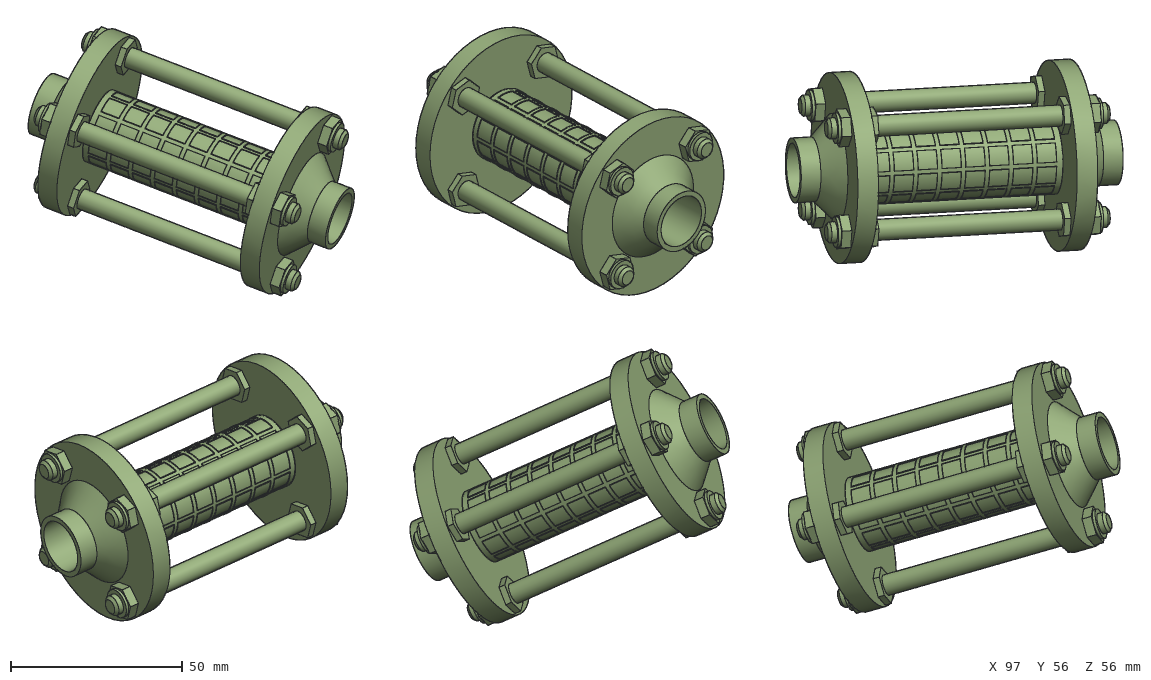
import cadquery as cq


overall_length = 97.0
flange_diameter = 56.0
flange_thickness = 6.2
flange_spacing = 59.85
neck_radius = 16.0
pipe_length = 5.9
pipe_radius = 9.5
bore_radius = 8.0

rod_count = 4
rod_radius = 3.1
rod_length = 85.0
rod_chamfer = 0.9
bolt_circle_radius = 22.0
nut_corner_radius = 5.5
inner_nut_height = 1.9
outer_nut_height = 2.9
collar_radius = 4.5
collar_height = 0.9

glass_radius = 11.0
guard_radius = 11.3
window_rows = 8
windows_around = 10
window_length = 5.8
window_width = 5.6
window_pitch = 7.2

half_length = overall_length / 2
inner_face = flange_spacing / 2
outer_face = inner_face + flange_thickness
neck_end = half_length - pipe_length


def cylinder_x(start, length, radius):
    """Cylinder on the X axis, running from start towards +X."""
    return cq.Workplane("YZ", origin=(start, 0, 0)).circle(radius).extrude(length)


def hexagon_x(start, length):
    """Hexagonal prism along X with one corner pointing along +Y."""
    hexagon = cq.Workplane("YZ", origin=(start, 0, 0)).polygon(6, 2 * nut_corner_radius)
    return hexagon.extrude(length)


def place_on_bolt_circle(body, index):
    """Move a body from the X axis to a bolt position, keeping its +Y side outward."""
    angle = (index + 0.5) * 360 / rod_count
    return body.translate((0, bolt_circle_radius, 0)).rotate((0, 0, 0), (1, 0, 0), angle)


def make_flange(side):
    """Weld-neck flange at the +X (side = 1) or -X (side = -1) end."""
    profile = [
        (inner_face, bore_radius),
        (inner_face, flange_diameter / 2),
        (outer_face, flange_diameter / 2),
        (outer_face, neck_radius),
        (neck_end, pipe_radius),
        (half_length, pipe_radius),
        (half_length, bore_radius),
    ]
    half_section = cq.Workplane("XY").polyline([(side * x, r) for x, r in profile]).close()
    flange = half_section.revolve(360, (0, 0, 0), (1, 0, 0))
    hole = cylinder_x(-half_length, overall_length, rod_radius)
    for index in range(rod_count):
        flange = flange.cut(place_on_bolt_circle(hole, index))
    return flange


def make_tie_rod():
    """Tie rod on the X axis, with an inner and an outer nut at each flange."""
    rod = cylinder_x(-rod_length / 2, rod_length, rod_radius).faces("<X or >X").chamfer(rod_chamfer)
    collar_end = outer_face + outer_nut_height + collar_height
    for side in (-1, 1):
        rod = rod.union(hexagon_x(side * inner_face, -side * inner_nut_height))
        rod = rod.union(hexagon_x(side * outer_face, side * outer_nut_height))
        rod = rod.union(cylinder_x(side * collar_end, -side * collar_height, collar_radius))
    return rod


def make_glass():
    """Plain glass tube between the inner flange faces."""
    outside = cylinder_x(-inner_face, flange_spacing, glass_radius)
    return outside.cut(cylinder_x(-inner_face, flange_spacing, bore_radius))


def make_guard():
    """Thin sleeve around the glass, pierced by a grid of rectangular windows."""
    sleeve = cylinder_x(-inner_face, flange_spacing, guard_radius)
    sleeve = sleeve.cut(cylinder_x(-inner_face, flange_spacing, glass_radius))
    row_of_windows = (
        cq.Workplane("XY")
        .rarray(window_pitch, 1, window_rows, 1)
        .rect(window_length, window_width)
        .extrude(2 * guard_radius)
    )
    for index in range(windows_around):
        angle = index * 360 / windows_around
        sleeve = sleeve.cut(row_of_windows.rotate((0, 0, 0), (1, 0, 0), angle))
    return sleeve


flanges = [make_flange(side) for side in (-1, 1)]
tie_rod = make_tie_rod()
tie_rods = [place_on_bolt_circle(tie_rod, index) for index in range(rod_count)]
glass = make_glass()
guard = make_guard()

result = cq.Compound.makeCompound(
    [flange.val() for flange in flanges] + [rod.val() for rod in tie_rods] + [glass.val(), guard.val()]
)